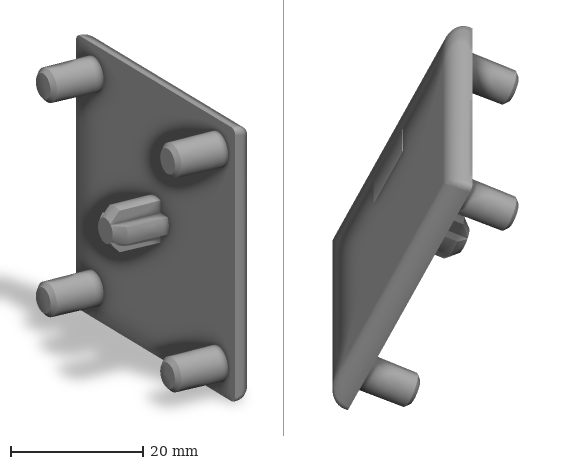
import cadquery as cq

plate_side = 44.8
rim_height = 0.5
edge_radius = 3.0
corner_radius = 1.0
plate_thickness = rim_height + edge_radius

stem_length = 9.0
tip_radius = 2.05
peg_offset = 17.5
peg_base_radius = 2.85
peg_end_radius = 2.8
peg_chamfer_length = 0.7
cross_base_radius = 3.7
cross_end_radius = 3.67
cross_chamfer_length = 1.65
cross_arm_width = 2.8

pad_width = 10.2
pad_height = 6.15
pad_center_z = 12.45
pad_thickness = 0.2


def make_plate():
    """Square plate with rounded corners and a fully rounded front edge."""
    block = (
        cq.Workplane("XZ")
        .rect(plate_side, plate_side)
        .extrude(-plate_thickness)
    )
    return block.faces(">Y").edges().fillet(edge_radius).edges("|Y").fillet(corner_radius)


def make_stem(base_radius, end_radius, chamfer_length):
    """Tapered round stem with a conical tip, running from Y = 0 towards -Y."""
    return (
        cq.Workplane("XY")
        .moveTo(0, 0)
        .lineTo(base_radius, 0)
        .lineTo(end_radius, chamfer_length - stem_length)
        .lineTo(tip_radius, -stem_length)
        .lineTo(0, -stem_length)
        .close()
        .revolve(360, (0, 0, 0), (0, 1, 0))
    )


def make_cross():
    """Round stem trimmed to two crossing arms."""
    arm_length = 2 * cross_base_radius
    arms = (
        cq.Workplane("XZ")
        .rect(arm_length, cross_arm_width)
        .extrude(stem_length)
        .union(cq.Workplane("XZ").rect(cross_arm_width, arm_length).extrude(stem_length))
    )
    return make_stem(cross_base_radius, cross_end_radius, cross_chamfer_length).intersect(arms)


def make_pad():
    """Raised rectangle above the middle of the front face."""
    return (
        cq.Workplane("XZ", origin=(0, plate_thickness, 0))
        .center(0, pad_center_z)
        .rect(pad_width, pad_height)
        .extrude(-pad_thickness)
    )


result = make_plate().union(make_cross()).union(make_pad())

peg = make_stem(peg_base_radius, peg_end_radius, peg_chamfer_length)
for x in (-peg_offset, peg_offset):
    for z in (-peg_offset, peg_offset):
        result = result.union(peg.translate((x, 0, z)))